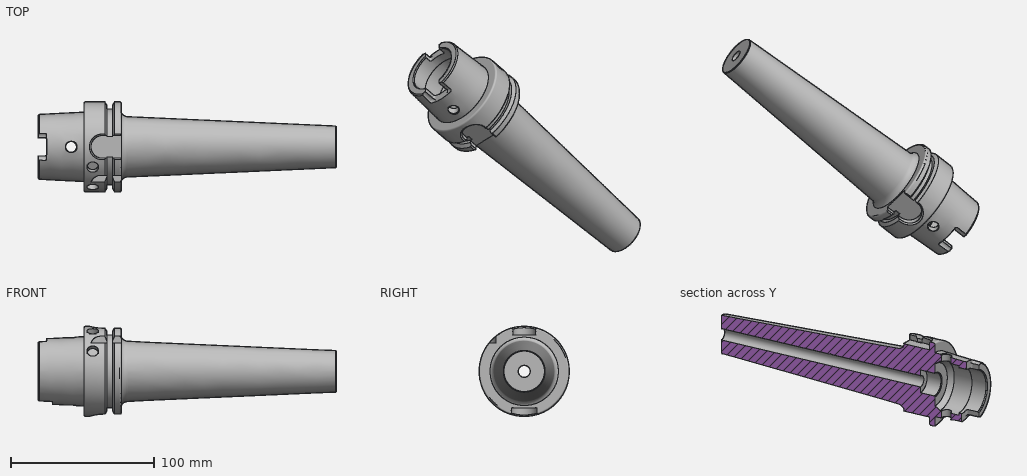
import cadquery as cq
import math


shank_length = 32.0
shank_tip_radius = 22.7
shank_root_radius = 24.3
shank_tip_chamfer_length = 0.9
shank_tip_chamfer_depth = 0.8

flange_radius = 31.5
flange_length = 26.0
flange_edge_fillet = 1.2
groove_centre_x = 17.9
groove_bottom_width = 3.75
groove_mouth_width = 6.8
groove_wall_radius = 28.8
groove_bottom_radius = 26.5

nose_end_x = 175.95
nose_root_radius = 21.1
nose_tip_radius = 14.6
nose_tip_chamfer = 0.5
neck_fillet_radius = 5.4
neck_length = 4.7

bore_radius = 17.0
bore_mouth_chamfer_depth = 0.5
bore_mouth_chamfer_length = 0.9
bore_land_length = 12.5
undercut_radius = 18.5
undercut_end_x = -4.0
bore_floor_x = 0.0
bore_floor_radius = 15.8
coolant_seat_radius = 9.0
coolant_seat_chamfer = 0.6
coolant_seat_depth = 12.0
through_hole_radius = 4.1

drive_slot_width = 12.54
drive_slot_shallow_depth = 6.0
drive_slot_deep_depth = 10.0
drive_slot_end_fillet = 1.2
drive_ledge_width = 20.4
drive_ledge_height = 19.6
drive_ledge_fillet = 3.5

clamp_hole_diameter = 7.5
clamp_hole_x = -9.0
clamp_hole_chamfer = 0.5

keyway_floor_height = 25.5
keyway_chamfer = 1.1
keyway_start_x = 4.9
top_keyway_width = 15.8
bottom_keyway_width = 17.8

notch_offset = 19.8
notch_corner_radius = 7.5
notch_tangent_x = 11.9

blind_hole_diameter = 8.0
blind_hole_x = 6.1
blind_hole_depth = 4.2
blind_hole_angle = 26.8


def turned_body():
    """Outside shape from shank tip to nose end, without the bore."""
    groove_left = groove_centre_x - groove_bottom_width / 2
    groove_right = groove_centre_x + groove_bottom_width / 2
    mouth_left = groove_centre_x - groove_mouth_width / 2
    mouth_right = groove_centre_x + groove_mouth_width / 2
    neck_end_x = flange_length + neck_length
    neck_drop = neck_fillet_radius - math.sqrt(neck_fillet_radius**2 - neck_length**2)
    half_angle = math.asin(neck_length / neck_fillet_radius) / 2
    neck_mid_x = neck_end_x - neck_fillet_radius * math.sin(half_angle)
    neck_mid_radius = nose_root_radius + neck_fillet_radius * (1 - math.cos(half_angle))
    fillet_inset = flange_edge_fillet * (1 - math.sqrt(0.5))
    return (
        cq.Workplane("XY")
        .moveTo(-shank_length, 0)
        .lineTo(-shank_length, shank_tip_radius - shank_tip_chamfer_depth)
        .lineTo(-shank_length + shank_tip_chamfer_length, shank_tip_radius)
        .lineTo(0, shank_root_radius)
        .lineTo(0, flange_radius - flange_edge_fillet)
        .threePointArc((fillet_inset, flange_radius - fillet_inset), (flange_edge_fillet, flange_radius))
        .lineTo(mouth_left, flange_radius)
        .lineTo(groove_left, groove_wall_radius)
        .lineTo(groove_left, groove_bottom_radius)
        .lineTo(groove_right, groove_bottom_radius)
        .lineTo(groove_right, groove_wall_radius)
        .lineTo(mouth_right, flange_radius)
        .lineTo(flange_length - flange_edge_fillet, flange_radius)
        .threePointArc(
            (flange_length - fillet_inset, flange_radius - fillet_inset),
            (flange_length, flange_radius - flange_edge_fillet),
        )
        .lineTo(flange_length, nose_root_radius + neck_drop)
        .threePointArc((neck_mid_x, neck_mid_radius), (neck_end_x, nose_root_radius))
        .lineTo(nose_end_x - nose_tip_chamfer, nose_tip_radius)
        .lineTo(nose_end_x, nose_tip_radius - nose_tip_chamfer)
        .lineTo(nose_end_x, 0)
        .close()
        .revolve(360, (0, 0, 0), (1, 0, 0))
    )


def stepped_bore():
    """Mouth chamfer, land, undercut, floor, coolant seat and through hole as one cutter."""
    land_end_x = -shank_length + bore_land_length
    return (
        cq.Workplane("XY")
        .moveTo(-shank_length, 0)
        .lineTo(-shank_length, bore_radius + bore_mouth_chamfer_depth)
        .lineTo(-shank_length + bore_mouth_chamfer_length, bore_radius)
        .lineTo(land_end_x, bore_radius)
        .lineTo(land_end_x, undercut_radius)
        .lineTo(undercut_end_x, undercut_radius)
        .lineTo(bore_floor_x, bore_floor_radius)
        .lineTo(bore_floor_x, coolant_seat_radius)
        .lineTo(bore_floor_x + coolant_seat_chamfer, coolant_seat_radius - coolant_seat_chamfer)
        .lineTo(bore_floor_x + coolant_seat_depth, coolant_seat_radius - coolant_seat_chamfer)
        .lineTo(bore_floor_x + coolant_seat_depth, through_hole_radius)
        .lineTo(nose_end_x, through_hole_radius)
        .lineTo(nose_end_x, 0)
        .close()
        .revolve(360, (0, 0, 0), (1, 0, 0))
    )


def drive_slot(depth):
    """Slot in the +Z shank wall, widened above a ledge, with a rounded inner end."""
    above_shank = 2 * shank_root_radius
    narrow = cq.Workplane("XY").box(depth, drive_slot_width, above_shank, centered=(False, True, False))
    wide = (
        cq.Workplane("XY", origin=(0, 0, drive_ledge_height))
        .box(depth, drive_ledge_width, above_shank - drive_ledge_height, centered=(False, True, False))
        .edges("<Z and |X")
        .fillet(drive_ledge_fillet)
    )
    slot = narrow.union(wide).faces(">X").edges().fillet(drive_slot_end_fillet)
    return slot.translate((-shank_length, 0, 0))


def clamp_hole():
    """Hole through both shank walls, chamfered where it meets the outside."""
    taper = (shank_root_radius - shank_tip_radius) / shank_length
    surface_height = shank_root_radius + taper * clamp_hole_x
    hole_radius = clamp_hole_diameter / 2
    return (
        cq.Workplane("XZ", origin=(clamp_hole_x, 0, 0))
        .lineTo(hole_radius, 0)
        .lineTo(hole_radius, surface_height - clamp_hole_chamfer)
        .lineTo(hole_radius + clamp_hole_chamfer, surface_height)
        .lineTo(hole_radius + clamp_hole_chamfer, flange_radius)
        .lineTo(0, flange_radius)
        .close()
        .revolve(360, (0, 0, 0), (0, 1, 0))
    )


def keyway(width):
    """Flat-bottomed keyway on the +Z side with a round start and a chamfered rim."""
    half_width = width / 2
    arc_centre_x = keyway_start_x + half_width
    pocket = (
        cq.Workplane("XY", origin=(0, 0, keyway_floor_height))
        .moveTo(flange_length, half_width)
        .lineTo(arc_centre_x, half_width)
        .threePointArc((keyway_start_x, 0), (arc_centre_x, -half_width))
        .lineTo(flange_length, -half_width)
        .close()
        .extrude(flange_radius)
    )
    blank = cq.Workplane("YZ").circle(flange_radius).extrude(flange_length)
    rim_edges = cq.selectors.BoxSelector(
        (keyway_chamfer, -flange_radius, (keyway_floor_height + flange_radius) / 2),
        (flange_length - keyway_chamfer, flange_radius, flange_radius),
    )
    keyed = blank.cut(pocket).edges(rim_edges).chamfer(keyway_chamfer)
    return blank.cut(keyed)


def notch():
    """Square corner cut out to the flange end with a round start in plan."""
    start_x = notch_tangent_x - notch_corner_radius
    return (
        cq.Workplane("XY", origin=(0, 0, notch_offset))
        .moveTo(flange_length, -notch_offset)
        .lineTo(notch_tangent_x, -notch_offset)
        .radiusArc((start_x, -notch_offset - notch_corner_radius), -notch_corner_radius)
        .lineTo(start_x, -flange_radius)
        .lineTo(flange_length, -flange_radius)
        .close()
        .extrude(flange_radius - notch_offset)
    )


def blind_hole(angle_from_z):
    """Flat-bottomed radial hole in the flange, turned from +Z toward -Y."""
    hole = (
        cq.Workplane("XY", origin=(blind_hole_x, 0, flange_radius - blind_hole_depth))
        .circle(blind_hole_diameter / 2)
        .extrude(2 * blind_hole_depth)
    )
    return hole.rotate((0, 0, 0), (1, 0, 0), angle_from_z)


def on_bottom(cutter):
    """Turn a cutter from the +Z side to the -Z side."""
    return cutter.rotate((0, 0, 0), (1, 0, 0), 180)


result = turned_body().cut(stepped_bore())
result = result.cut(drive_slot(drive_slot_shallow_depth))
result = result.cut(on_bottom(drive_slot(drive_slot_deep_depth)))

result = result.cut(clamp_hole())
result = result.cut(on_bottom(clamp_hole()))

result = result.cut(keyway(top_keyway_width))
result = result.cut(on_bottom(keyway(bottom_keyway_width)))
result = result.cut(notch())
for angle in (blind_hole_angle, 90 - blind_hole_angle):
    result = result.cut(blind_hole(angle))